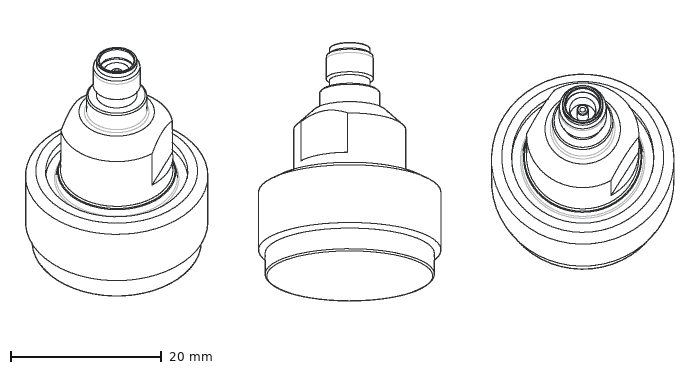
import cadquery as cq
import math


TOTAL_HEIGHT = 31.63
NUT_BOTTOM_Z = 3.1
NUT_TOP_Z = 12.41
RECESS_FLOOR_Z = 11.15
BODY_BOTTOM_Z = 12.56
FLAT_BOTTOM_Z = 14.85
SHOULDER_Z = 20.3
BODY_TOP_Z = 22.66
NECK_BOTTOM_Z = 25.6
THREAD_BOTTOM_Z = 27.15
THREAD_LEAD_Z = 30.07
THREAD_TOP_Z = 30.55
TIP_BOTTOM_Z = 30.85

SKIRT_RADIUS = 11.23
SKIRT_CHAMFER = 0.23
NUT_RADIUS = 12.1
NUT_TOP_RADIUS = 10.73
NUT_BEVEL_SLOPE = math.tan(math.radians(30))
RECESS_RADIUS = 9.42

COLLAR_RADIUS = 8.05
COLLAR_SHOULDER_RADIUS = 7.84
COLLAR_TOP_RADIUS = 7.72
COLLAR_FOOT_FILLET = 0.2
COLLAR_EDGE_HEIGHT = 0.1

GROOVE_RADIUS = 7.0
BODY_RADIUS = 7.45
BODY_TOP_RADIUS = 5.0
ACROSS_FLATS = 13.0

FLANGE_RADIUS = 4.0
FLANGE_CHAMFER = 0.22
FLANGE_FOOT_FILLET = 0.28
NECK_RADIUS = 2.69
THREAD_RADIUS = 3.14
THREAD_LEAD_RADIUS = 3.08
THREAD_RUNOUT = 0.25
TIP_CHAMFER = 0.08

SOCKET_RADIUS = 2.28
SOCKET_MOUTH_CHAMFER = 0.12
SOCKET_DEPTH = 1.9
UNDERCUT_RADIUS = 2.46
UNDERCUT_HEIGHT = 0.4
CAVITY_RADIUS = 1.73
CAVITY_DEPTH = 4.5
CONTACT_RADIUS = 0.75
CONTACT_CHAMFER = 0.12
CONTACT_DEPTH = 2.0
CONTACT_BORE_RADIUS = 0.35
CONTACT_BORE_DEPTH = 2.0


def turned(points):
    """Revolve a closed (radius, z) outline about the Z axis."""
    return cq.Workplane("XZ").polyline(points).close().revolve(360, (0, 0, 0), (0, 1, 0))


def disc(radius, bottom_z, top_z):
    return cq.Workplane("XY").workplane(offset=bottom_z).circle(radius).extrude(top_z - bottom_z)


def foot_fillet(wall_radius, floor_z, fillet_radius):
    """Solid foot whose concave edge blends a cylinder wall into the floor below it."""
    arc_center_radius = wall_radius + fillet_radius
    arc_center_z = floor_z + fillet_radius
    arc_reach = fillet_radius * math.sqrt(0.5)
    return (
        cq.Workplane("XZ")
        .moveTo(0, floor_z)
        .lineTo(arc_center_radius, floor_z)
        .threePointArc(
            (arc_center_radius - arc_reach, arc_center_z - arc_reach),
            (wall_radius, arc_center_z),
        )
        .lineTo(0, arc_center_z)
        .close()
        .revolve(360, (0, 0, 0), (0, 1, 0))
    )


def coupling_nut():
    lower_bevel = (NUT_RADIUS - SKIRT_RADIUS) * NUT_BEVEL_SLOPE
    upper_bevel = (NUT_RADIUS - NUT_TOP_RADIUS) * NUT_BEVEL_SLOPE
    return turned([
        (0, 0),
        (SKIRT_RADIUS - SKIRT_CHAMFER, 0),
        (SKIRT_RADIUS, SKIRT_CHAMFER),
        (SKIRT_RADIUS, NUT_BOTTOM_Z),
        (NUT_RADIUS, NUT_BOTTOM_Z + lower_bevel),
        (NUT_RADIUS, NUT_TOP_Z - upper_bevel),
        (NUT_TOP_RADIUS, NUT_TOP_Z),
        (RECESS_RADIUS, NUT_TOP_Z),
        (RECESS_RADIUS, RECESS_FLOOR_Z),
        (0, RECESS_FLOOR_Z),
    ])


def retaining_collar():
    return turned([
        (0, RECESS_FLOOR_Z),
        (COLLAR_RADIUS, RECESS_FLOOR_Z),
        (COLLAR_RADIUS, RECESS_FLOOR_Z + COLLAR_FOOT_FILLET),
        (COLLAR_SHOULDER_RADIUS, NUT_TOP_Z - COLLAR_EDGE_HEIGHT),
        (COLLAR_TOP_RADIUS, NUT_TOP_Z),
        (0, NUT_TOP_Z),
    ]).union(foot_fillet(COLLAR_RADIUS, RECESS_FLOOR_Z, COLLAR_FOOT_FILLET))


def wrench_body():
    body = turned([
        (0, BODY_BOTTOM_Z),
        (BODY_RADIUS, BODY_BOTTOM_Z),
        (BODY_RADIUS, SHOULDER_Z),
        (BODY_TOP_RADIUS, BODY_TOP_Z),
        (0, BODY_TOP_Z),
    ])
    flat_height = BODY_TOP_Z - FLAT_BOTTOM_Z
    flat_depth = BODY_RADIUS - ACROSS_FLATS / 2
    for side in (-1, 1):
        cutter = cq.Workplane("XY").box(
            flat_depth, 2 * BODY_RADIUS, flat_height, centered=(True, True, False)
        )
        flat_center_x = side * (ACROSS_FLATS + flat_depth) / 2
        body = body.cut(cutter.translate((flat_center_x, 0, FLAT_BOTTOM_Z)))
    return body


def jack():
    return turned([
        (0, BODY_TOP_Z),
        (FLANGE_RADIUS, BODY_TOP_Z),
        (FLANGE_RADIUS, NECK_BOTTOM_Z - FLANGE_CHAMFER),
        (FLANGE_RADIUS - FLANGE_CHAMFER, NECK_BOTTOM_Z),
        (NECK_RADIUS, NECK_BOTTOM_Z),
        (NECK_RADIUS, THREAD_BOTTOM_Z),
        (THREAD_RADIUS, THREAD_BOTTOM_Z + THREAD_RUNOUT),
        (THREAD_RADIUS, THREAD_LEAD_Z),
        (THREAD_LEAD_RADIUS, THREAD_TOP_Z),
        (NECK_RADIUS, TIP_BOTTOM_Z),
        (NECK_RADIUS, TOTAL_HEIGHT - TIP_CHAMFER),
        (NECK_RADIUS - TIP_CHAMFER, TOTAL_HEIGHT),
        (0, TOTAL_HEIGHT),
    ]).union(foot_fillet(FLANGE_RADIUS, BODY_TOP_Z, FLANGE_FOOT_FILLET))


def socket():
    """Space inside the jack around the centre contact."""
    ledge_z = TOTAL_HEIGHT - SOCKET_DEPTH
    return turned([
        (0, TOTAL_HEIGHT - CAVITY_DEPTH),
        (CAVITY_RADIUS, TOTAL_HEIGHT - CAVITY_DEPTH),
        (CAVITY_RADIUS, ledge_z),
        (UNDERCUT_RADIUS, ledge_z),
        (UNDERCUT_RADIUS, ledge_z + UNDERCUT_HEIGHT),
        (SOCKET_RADIUS, ledge_z + UNDERCUT_HEIGHT),
        (SOCKET_RADIUS, TOTAL_HEIGHT - SOCKET_MOUTH_CHAMFER),
        (SOCKET_RADIUS + SOCKET_MOUTH_CHAMFER, TOTAL_HEIGHT),
        (0, TOTAL_HEIGHT),
    ])


def centre_contact():
    tip_z = TOTAL_HEIGHT - CONTACT_DEPTH
    pin = disc(CONTACT_RADIUS, TOTAL_HEIGHT - CAVITY_DEPTH, tip_z).faces(">Z").chamfer(CONTACT_CHAMFER)
    return pin.cut(disc(CONTACT_BORE_RADIUS, tip_z - CONTACT_BORE_DEPTH, tip_z))


result = (
    coupling_nut()
    .union(retaining_collar())
    .union(disc(GROOVE_RADIUS, NUT_TOP_Z, BODY_BOTTOM_Z))
    .union(wrench_body())
    .union(jack())
    .cut(socket())
    .union(centre_contact())
)